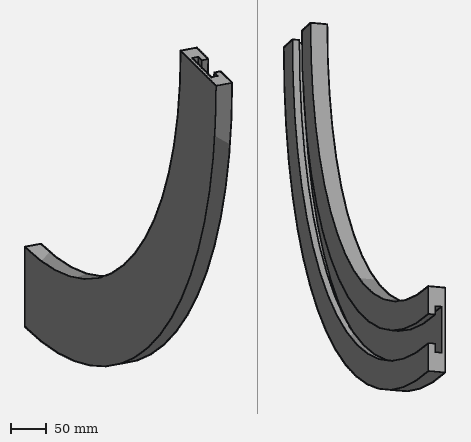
import cadquery as cq

outer_radius = 672.5
rail_width = 125.0
rail_thickness = 25.0
slot_mouth_width = 43.0
slot_undercut_width = 68.0
lip_thickness = 10.0
floor_thickness = 5.5

mid_radius = outer_radius - rail_width / 2
front_y = -rail_thickness / 2
floor_y = front_y + floor_thickness
back_y = front_y + rail_thickness
lip_y = back_y - lip_thickness


def quarter_band(radius, width, start_y, end_y):
    """Sweep a rectangular section from the top end face round to the -X end face.

    The bend axis runs along Y through X = 0, Z = outer_radius.
    """
    section = (
        cq.Workplane("XY", origin=(radius, (start_y + end_y) / 2, outer_radius))
        .rect(width, end_y - start_y)
    )
    return section.revolve(90, (-radius, 0, 0), (-radius, 1, 0))


rail = quarter_band(mid_radius, rail_width, front_y, back_y)
undercut = quarter_band(mid_radius, slot_undercut_width, floor_y, lip_y)
mouth = quarter_band(mid_radius, slot_mouth_width, floor_y, back_y)

result = rail.cut(undercut).cut(mouth)